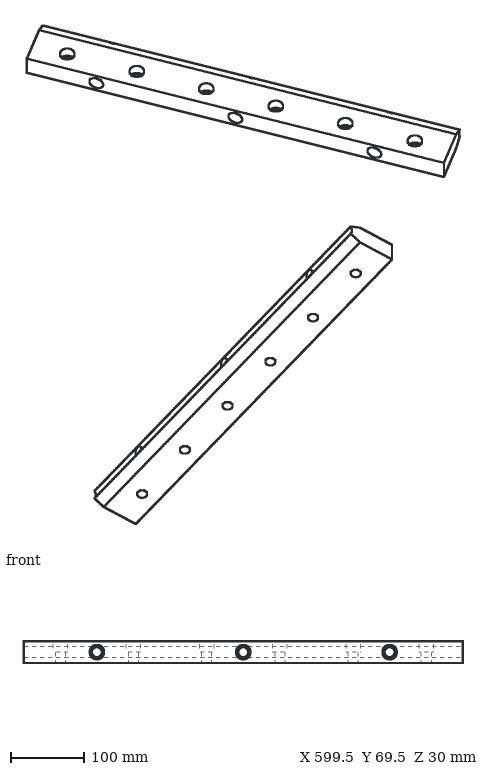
import cadquery as cq

length = 599.5
width = 69.5
height = 30.0

taper_length = 15.5
nose_height = 15.0
groove_depth = 2.1

hole_diameter = 14.0
counterbore_diameter = 20.0
counterbore_depth = 15.0

top_hole_count = 6
top_hole_setback = 25.0
front_hole_count = 3

back_y = -width / 2
nose_y = width / 2


def row_positions(count, cross_position):
    """Evenly spaced points along X, with half a pitch left at each end."""
    pitch = length / count
    return [((i + 0.5) * pitch - length / 2, cross_position) for i in range(count)]


def make_bar():
    """Constant section extruded along X."""
    half_height = height / 2
    half_nose = nose_height / 2
    return (
        cq.Workplane("YZ")
        .moveTo(back_y, -half_height)
        .lineTo(nose_y - taper_length, -half_height)
        .lineTo(nose_y, -half_nose)
        .threePointArc((nose_y - groove_depth, 0), (nose_y, half_nose))
        .lineTo(nose_y - taper_length, half_height)
        .lineTo(back_y, half_height)
        .close()
        .extrude(length / 2, both=True)
    )


def drill_row(bar, face_plane, points):
    """Drill counterbored through holes into the face lying on face_plane."""
    bores = face_plane.pushPoints(points).circle(hole_diameter / 2).extrude(-width)
    counterbores = (
        face_plane.pushPoints(points)
        .circle(counterbore_diameter / 2)
        .extrude(-counterbore_depth)
    )
    return bar.cut(bores).cut(counterbores)


top_face = cq.Workplane("XY", origin=(0, 0, height / 2))
back_face = cq.Workplane("XZ", origin=(0, back_y, 0))

result = make_bar()
result = drill_row(result, top_face, row_positions(top_hole_count, back_y + top_hole_setback))
result = drill_row(result, back_face, row_positions(front_hole_count, 0))